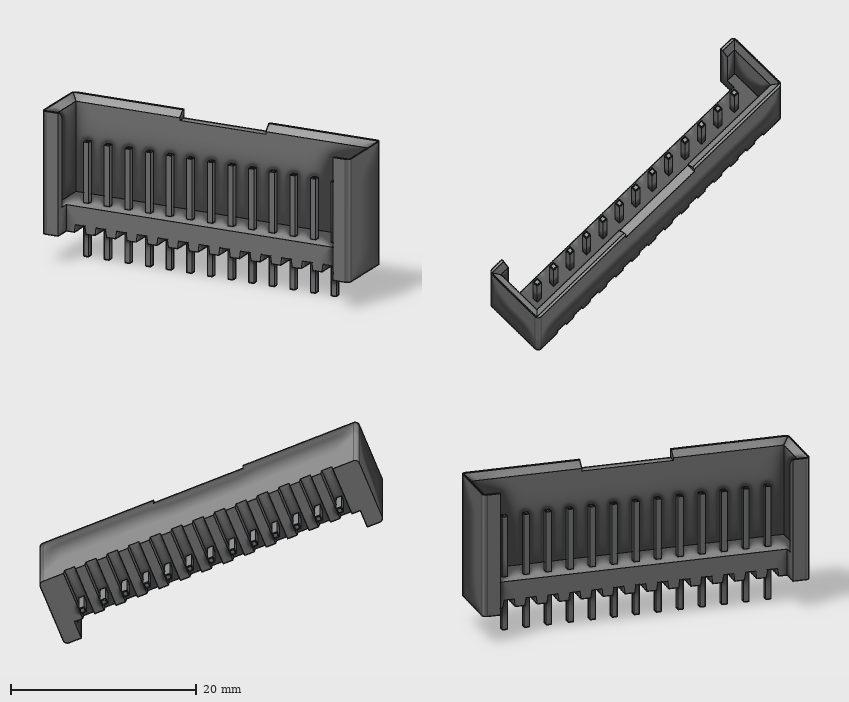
import cadquery as cq


length = 37.2
depth = 7.5
height = 14.0
corner_radius = 0.5
side_wall = 0.8
long_wall = 1.0
floor_height = 3.0
lead_in = 0.7

lip_length = 1.95
opening_depth = 2.0
key_length = 10.4
key_depth = 1.0

pin_count = 13
pin_pitch = 2.5
pin_side = 0.65
pin_top = 10.0
total_height = 17.1
pin_tail = total_height - height
pin_chamfer = 0.093

groove_depth = 0.9
groove_root_width = 1.15
groove_mouth_width = 1.4

cavity_length = length - 2 * side_wall
cavity_depth = depth - 2 * long_wall
pin_positions = [(i - (pin_count - 1) / 2) * pin_pitch for i in range(pin_count)]


def box_on(z, size_x, size_y, size_z):
    """Box centred on X and Y, standing on height z."""
    return cq.Workplane("XY").workplane(offset=z).rect(size_x, size_y).extrude(size_z)


def make_shell():
    """Round-cornered block with a chamfer-mouthed cavity above the floor."""
    block = box_on(0, length, depth, height).edges("|Z").fillet(corner_radius)
    cavity = box_on(floor_height, cavity_length, cavity_depth, height - floor_height)
    mouth = (
        cq.Workplane("XY")
        .workplane(offset=height - lead_in)
        .rect(cavity_length, cavity_depth)
        .workplane(offset=lead_in)
        .rect(cavity_length + 2 * lead_in, cavity_depth + 2 * lead_in)
        .loft(ruled=True)
    )
    return block.cut(cavity).cut(mouth)


def front_opening():
    """Full-height gap between the two front lips, setting back the floor."""
    opening = box_on(0, length - 2 * lip_length, opening_depth, height)
    return opening.translate((0, (opening_depth - depth) / 2, 0))


def key_slot():
    """Notch in the top edge of the back wall."""
    slot = box_on(height - key_depth, key_length, long_wall, key_depth)
    return slot.translate((0, (depth - long_wall) / 2, 0))


def relief_groove(x):
    """Tapered groove running front to back under the pin at x."""
    profile = [
        (x - groove_mouth_width / 2, 0),
        (x - groove_root_width / 2, groove_depth),
        (x + groove_root_width / 2, groove_depth),
        (x + groove_mouth_width / 2, 0),
    ]
    return cq.Workplane("XZ").polyline(profile).close().extrude(depth / 2, both=True)


def make_pin(x):
    """Square pin with chamfered tips at both ends."""
    pin = box_on(-pin_tail, pin_side, pin_side, pin_top + pin_tail)
    return pin.faces("<Z or >Z").chamfer(pin_chamfer).translate((x, 0, 0))


result = make_shell().cut(front_opening()).cut(key_slot())
for pin_x in pin_positions:
    result = result.cut(relief_groove(pin_x))
    result = result.union(make_pin(pin_x))